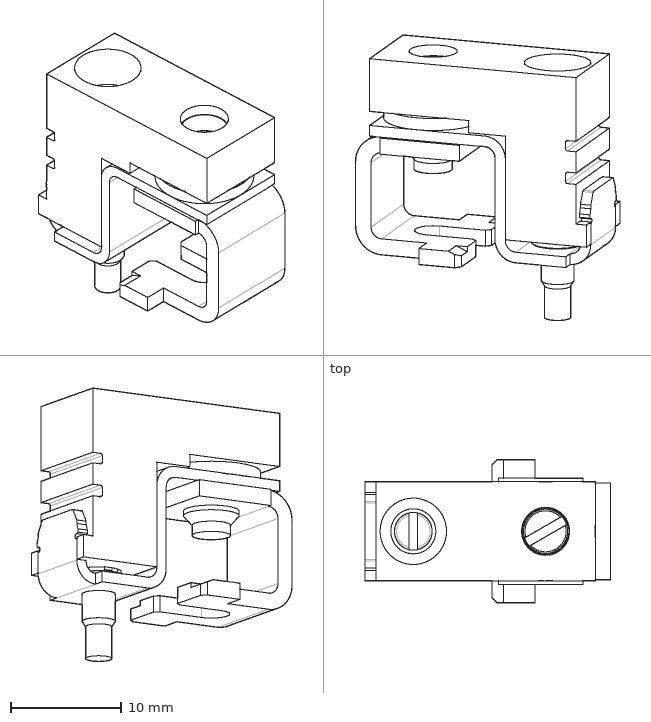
import cadquery as cq


top_z = 23.9
terminal_x = 4.4
clamp_x = 16.4
body_width = 9.0
end_x = 20.91

sheet = 1.0
sheet_bend = 2.0
strip_bottom_z = 6.0
strip_top_z = 17.65
riser_x = 7.82
strip_wide_x = 1.98
tab_half_width = 3.35
tab_top_z = 12.85
tab_top_half_width = 2.65
tab_shoulder_z = 11.73
tab_straight_z = 11.4
tab_barb_half_width = 3.54
tab_barb_z = 10.87
tab_corner_round = 0.2
tab_barb_flat_z = 10.56
tab_barb_bottom_z = 10.45
tab_barb_nose = 0.15
tab_relief_radius = 0.25
tab_relief_half_spacing = 3.3
tab_relief_z = 10.23

leg_bottom_z = 8.08
underside_z = 18.95
step_x = 11.35
step_z = 17.8
foot_top_z = 10.15
slot_depth = 1.0
slot_round = 0.2
slots = [(16.95, 17.92), (13.89, 14.95)]
terminal_bore = 6.02
terminal_bore_depth = 3.87
terminal_hole = 4.09
clamp_bore = 4.35
clamp_bore_depth = 1.0
clamp_hole = 4.23

hook_thickness = 1.5
hook_bend = 2.5
hook_right_x = 22.3
hook_bottom_z = 5.57
hook_top_z = strip_top_z - sheet
hook_width = 8.8
hook_flange_left_x = 12.15
hook_flange_width = 9.65
crossbar_left_x = 11.52
crossbar_right_x = 15.45
crossbar_width = 13.0
corner_chamfer = 0.48
bevel_length = 1.08
bevel_drop = 0.45
hook_slot_width = 3.35
hook_slot_chamfer = 0.43

washer_diameter = 8.99
washer_thickness = 1.12
washer_top_z = strip_top_z + washer_thickness

clamp_shank = 5.05
clamp_tip = 3.5
clamp_shank_end_z = 14.7
clamp_cone_end_z = 13.81
clamp_tip_z = 12.85
clamp_collar = 7.0
clamp_head = 4.02
clamp_head_top_z = 21.35
clamp_head_chamfer = 0.15
clamp_slot_width = 0.85
clamp_slot_depth = 0.72
clamp_slot_angle = 30.0

terminal_shank = 3.0
terminal_tip = 2.4
terminal_shank_end_z = 3.47
terminal_cone_end_z = 2.96
terminal_flange = 4.8
terminal_flange_top_z = 7.67
terminal_flange_round = 0.15
terminal_flange_chamfer = 0.1
terminal_head = 3.42
terminal_head_top_z = 8.85
terminal_head_round = 0.2
terminal_slot_width = 0.8
terminal_slot_angle = 90.0
terminal_slot_floor_z = 7.9


def centered_box(x0, x1, width, z0, z1):
    """Box between two X and two Z positions, centred on the mid-plane."""
    block = cq.Workplane("XY").box(x1 - x0, width, z1 - z0, centered=(False, True, False))
    return block.translate((x0, 0, z0))


def cylinder(x, diameter, z0, z1):
    return cq.Workplane("XY", origin=(x, 0, z0)).circle(diameter / 2).extrude(z1 - z0)


def turned(x, profile):
    """Solid of revolution about the vertical axis at x, from (radius, z) points."""
    return cq.Workplane("XZ").polyline(profile).close().revolve(360, (0, 0), (0, 1)).translate((x, 0, 0))


def side_plate(outline, width):
    """Extrude an outline in the XZ plane symmetrically about the mid-plane."""
    return outline.close().extrude(width / 2, both=True)


def screw_slot(x, length, width, angle, z0, z1):
    """Cutter for a driver slot; at zero angle the slot runs along X."""
    cutter = cq.Workplane("XY", origin=(0, 0, z0)).rect(length, width).extrude(z1 - z0)
    return cutter.rotate((0, 0, 0), (0, 0, 1), angle).translate((x, 0, 0))


def make_housing():
    outline = cq.Workplane("XZ").polyline([
        (0, leg_bottom_z), (riser_x, leg_bottom_z), (riser_x, step_z), (step_x, step_z),
        (step_x, underside_z), (end_x, underside_z), (end_x, top_z), (sheet, top_z),
        (sheet, foot_top_z), (0, foot_top_z),
    ])
    housing = side_plate(outline, body_width)

    housing = housing.cut(centered_box(0, sheet, 2 * tab_half_width, leg_bottom_z, foot_top_z))

    for slot_bottom, slot_top in slots:
        slot = centered_box(0, sheet + slot_depth, body_width, slot_bottom, slot_top)
        housing = housing.cut(slot.edges("|Y and >X").fillet(slot_round))

    funnel_top_z = top_z - terminal_bore_depth
    funnel_bottom_z = funnel_top_z - (terminal_bore - terminal_hole) / 2
    housing = housing.cut(turned(terminal_x, [
        (0, leg_bottom_z), (terminal_hole / 2, leg_bottom_z), (terminal_hole / 2, funnel_bottom_z),
        (terminal_bore / 2, funnel_top_z), (terminal_bore / 2, top_z), (0, top_z),
    ]))

    housing = housing.cut(cylinder(clamp_x, clamp_hole, underside_z, top_z))
    return housing.cut(cylinder(clamp_x, clamp_bore, top_z - clamp_bore_depth, top_z))


def tab_shape():
    """Front outline of the tab, with its lower stem running down through the bottom bend."""
    half_points = [
        (tab_half_width, strip_bottom_z), (tab_half_width, tab_barb_bottom_z),
        (tab_barb_half_width - tab_barb_nose, tab_barb_bottom_z),
        (tab_barb_half_width, tab_barb_flat_z), (tab_barb_half_width, tab_barb_z),
        (tab_half_width, tab_straight_z), (tab_half_width, tab_shoulder_z),
        (tab_top_half_width, tab_top_z),
    ]
    mirrored = [(-y, z) for y, z in reversed(half_points)]
    shape = cq.Workplane("YZ").polyline(half_points + mirrored).close().extrude(strip_wide_x)
    shape = shape.edges("|X and >Z").fillet(tab_corner_round)
    reliefs = (
        cq.Workplane("YZ")
        .pushPoints([(-tab_relief_half_spacing, tab_relief_z), (tab_relief_half_spacing, tab_relief_z)])
        .circle(tab_relief_radius)
        .extrude(sheet)
    )
    return shape.cut(reliefs)


def make_strip():
    inner_bend = sheet_bend - sheet
    riser_right_x = riser_x + sheet
    outline = (
        cq.Workplane("XZ")
        .moveTo(0, tab_top_z)
        .lineTo(0, strip_bottom_z + sheet_bend)
        .radiusArc((sheet_bend, strip_bottom_z), -sheet_bend)
        .lineTo(riser_right_x - sheet_bend, strip_bottom_z)
        .radiusArc((riser_right_x, strip_bottom_z + sheet_bend), -sheet_bend)
        .lineTo(riser_right_x, strip_top_z - sheet_bend)
        .radiusArc((riser_x + sheet_bend, strip_top_z - sheet), inner_bend)
        .lineTo(end_x, strip_top_z - sheet)
        .lineTo(end_x, strip_top_z)
        .lineTo(riser_x + sheet_bend, strip_top_z)
        .radiusArc((riser_x, strip_top_z - sheet_bend), -sheet_bend)
        .lineTo(riser_x, strip_bottom_z + sheet_bend)
        .radiusArc((riser_x - inner_bend, strip_bottom_z + sheet), inner_bend)
        .lineTo(sheet_bend, strip_bottom_z + sheet)
        .radiusArc((sheet, strip_bottom_z + sheet_bend), inner_bend)
        .lineTo(sheet, tab_top_z)
    )
    wide_part = centered_box(strip_wide_x, end_x, body_width, strip_bottom_z, strip_top_z)
    strip = side_plate(outline, body_width).intersect(wide_part.union(tab_shape()))
    strip = strip.cut(cylinder(terminal_x, terminal_shank, strip_bottom_z, strip_bottom_z + sheet))
    return strip.cut(cylinder(clamp_x, clamp_shank, strip_top_z - sheet, strip_top_z))


def make_crossbar():
    """Wide end of the lower hook arm, with chamfered corners and bevelled ears."""
    arm_top_z = hook_bottom_z + hook_thickness
    crossbar = centered_box(crossbar_left_x, crossbar_right_x, crossbar_width, hook_bottom_z, arm_top_z)
    crossbar = crossbar.edges("|Z and <X").chamfer(corner_chamfer)
    ear = (crossbar_width - hook_width) / 2
    for y in (-hook_width / 2, crossbar_width / 2):
        bevel = (
            cq.Workplane("XZ", origin=(0, y, 0))
            .polyline([
                (crossbar_left_x, arm_top_z),
                (crossbar_left_x, arm_top_z - bevel_drop),
                (crossbar_left_x + bevel_length, arm_top_z),
            ])
            .close()
            .extrude(ear)
        )
        crossbar = crossbar.cut(bevel)
    return crossbar


def hook_slot():
    """Cutter for the open slot below the clamp screw, flared at its mouth."""
    half = hook_slot_width / 2
    mouth = half + hook_slot_chamfer
    return (
        cq.Workplane("XY", origin=(0, 0, hook_bottom_z))
        .moveTo(crossbar_left_x, -mouth)
        .lineTo(crossbar_left_x + hook_slot_chamfer, -half)
        .lineTo(clamp_x, -half)
        .threePointArc((clamp_x + half, 0), (clamp_x, half))
        .lineTo(crossbar_left_x + hook_slot_chamfer, half)
        .lineTo(crossbar_left_x, mouth)
        .close()
        .extrude(hook_thickness)
    )


def make_hook():
    inner_bend = hook_bend - hook_thickness
    bend_x = hook_right_x - hook_bend
    inner_x = hook_right_x - hook_thickness
    flange_bottom_z = hook_top_z - hook_thickness
    arm_top_z = hook_bottom_z + hook_thickness
    outline = (
        cq.Workplane("XZ")
        .moveTo(hook_flange_left_x, hook_top_z)
        .lineTo(bend_x, hook_top_z)
        .radiusArc((hook_right_x, hook_top_z - hook_bend), hook_bend)
        .lineTo(hook_right_x, hook_bottom_z + hook_bend)
        .radiusArc((bend_x, hook_bottom_z), hook_bend)
        .lineTo(crossbar_right_x, hook_bottom_z)
        .lineTo(crossbar_right_x, arm_top_z)
        .lineTo(bend_x, arm_top_z)
        .radiusArc((inner_x, hook_bottom_z + hook_bend), -inner_bend)
        .lineTo(inner_x, hook_top_z - hook_bend)
        .radiusArc((bend_x, flange_bottom_z), -inner_bend)
        .lineTo(hook_flange_left_x, flange_bottom_z)
    )
    hook = side_plate(outline, hook_width)
    flange = centered_box(hook_flange_left_x, bend_x, hook_flange_width, flange_bottom_z, hook_top_z)
    hook = hook.union(flange).union(make_crossbar())
    hook = hook.cut(hook_slot())
    return hook.cut(cylinder(clamp_x, clamp_shank, flange_bottom_z, hook_top_z))


def make_washer():
    washer = cylinder(clamp_x, washer_diameter, strip_top_z, washer_top_z)
    return washer.cut(cylinder(clamp_x, clamp_shank, strip_top_z, washer_top_z))


def make_clamp_screw():
    head_radius = clamp_head / 2
    screw = turned(clamp_x, [
        (0, clamp_tip_z), (clamp_tip / 2, clamp_tip_z), (clamp_tip / 2, clamp_cone_end_z),
        (clamp_shank / 2, clamp_shank_end_z), (clamp_shank / 2, washer_top_z),
        (clamp_collar / 2, washer_top_z), (clamp_collar / 2, underside_z),
        (head_radius, underside_z), (head_radius, clamp_head_top_z - clamp_head_chamfer),
        (head_radius - clamp_head_chamfer, clamp_head_top_z), (0, clamp_head_top_z),
    ])
    slot_floor_z = clamp_head_top_z - clamp_slot_depth
    slot = screw_slot(clamp_x, clamp_head, clamp_slot_width, clamp_slot_angle, slot_floor_z, clamp_head_top_z)
    return screw.cut(slot)


def make_terminal_screw():
    flange_bottom_z = strip_bottom_z + sheet
    shank = turned(terminal_x, [
        (0, 0), (terminal_tip / 2, 0), (terminal_tip / 2, terminal_cone_end_z),
        (terminal_shank / 2, terminal_shank_end_z), (terminal_shank / 2, flange_bottom_z),
        (0, flange_bottom_z),
    ])
    flange = cylinder(terminal_x, terminal_flange, flange_bottom_z, terminal_flange_top_z)
    flange = flange.edges(">Z").fillet(terminal_flange_round)
    flange = flange.edges("<Z").chamfer(terminal_flange_chamfer)
    head = cylinder(terminal_x, terminal_head, terminal_flange_top_z, terminal_head_top_z)
    head = head.edges(">Z").fillet(terminal_head_round)
    slot = screw_slot(
        terminal_x, terminal_head, terminal_slot_width, terminal_slot_angle,
        terminal_slot_floor_z, terminal_head_top_z,
    )
    return shank.union(flange).union(head).cut(slot)


housing = make_housing()
strip = make_strip()
hook = make_hook()
washer = make_washer()
clamp_screw = make_clamp_screw()
terminal_screw = make_terminal_screw()

result = cq.Compound.makeCompound([
    housing.val(), strip.val(), hook.val(), washer.val(), clamp_screw.val(), terminal_screw.val(),
])